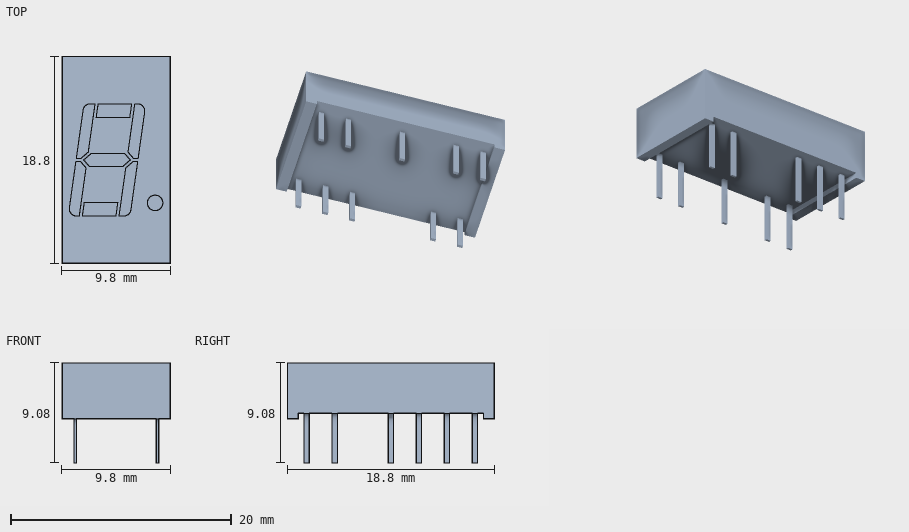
import cadquery as cq
import math

length_x = 9.8
length_y = 18.75
housing_height = 5.08
foot_length = 1.0
foot_height = 0.5

pin_pitch = 2.54
pin_row_spacing = 7.45
pin_thickness = 0.25
pin_width = 0.5
pin_drop = 4.0
pin_positions = 7
left_row_filled = (0, 1, 3, 5, 6)
right_row_filled = (0, 1, 2, 5, 6)

digit_height = 10.16
digit_width = 5.6
digit_center_x = -0.845
slant = math.tan(math.radians(8))
stroke = 1.0
end_bar_height = 1.22
middle_bar_height = 1.16
bar_length = 3.04
middle_tip_span = 4.22
upright_gap = 0.3
upright_tip_x = 2.37
upright_shoulder_y = 0.72
corner_radius = 0.65

dot_diameter = 1.4
dot_x = 3.51
dot_y = -3.89

inlay_depth = 0.5


def slanted_prism(points):
    """Extrude an upright digit outline, slanted, down from the top face."""
    slanted = [(digit_center_x + x + slant * y, y) for x, y in points]
    return (
        cq.Workplane("XY", origin=(0, 0, housing_height))
        .polyline(slanted)
        .close()
        .extrude(-inlay_depth)
    )


def make_end_bar(side):
    """Top bar (side = 1) or bottom bar (side = -1)."""
    half_length = bar_length / 2
    outer_y = side * digit_height / 2
    inner_y = outer_y - side * end_bar_height
    return slanted_prism([
        (-half_length, outer_y),
        (half_length, outer_y),
        (half_length, inner_y),
        (-half_length, inner_y),
    ])


def make_middle_bar():
    half_length = bar_length / 2
    half_height = middle_bar_height / 2
    half_span = middle_tip_span / 2
    return slanted_prism([
        (-half_span, 0),
        (-half_length, half_height),
        (half_length, half_height),
        (half_span, 0),
        (half_length, -half_height),
        (-half_length, -half_height),
    ])


def make_upright(side_x, side_y):
    """Upright segment in the quadrant given by the two signs."""
    outer_x = side_x * digit_width / 2
    inner_x = outer_x - side_x * stroke
    end_y = side_y * digit_height / 2
    gap_y = side_y * upright_gap / 2
    upright = slanted_prism([
        (outer_x, end_y),
        (inner_x, end_y),
        (inner_x, side_y * upright_shoulder_y),
        (side_x * upright_tip_x, gap_y),
        (outer_x, gap_y),
    ])
    corner = (digit_center_x + outer_x + slant * end_y, end_y, housing_height - inlay_depth / 2)
    return upright.edges(cq.selectors.NearestToPointSelector(corner)).fillet(corner_radius)


def make_dot():
    return (
        cq.Workplane("XY", origin=(dot_x, dot_y, housing_height))
        .circle(dot_diameter / 2)
        .extrude(-inlay_depth)
    )


def make_pins():
    """All pins, reaching from the underside of the block to their tips."""
    centers = []
    for side, filled in ((-1, left_row_filled), (1, right_row_filled)):
        for position in filled:
            y = pin_pitch * ((pin_positions - 1) / 2 - position)
            centers.append((side * pin_row_spacing / 2, y))
    return (
        cq.Workplane("XY", origin=(0, 0, -pin_drop))
        .pushPoints(centers)
        .rect(pin_thickness, pin_width)
        .extrude(pin_drop + foot_height)
    )


def make_housing(inlays):
    """Block and pins as one body, with a pocket for every inlay."""
    block = cq.Workplane("XY").box(length_x, length_y, housing_height, centered=(True, True, False))
    channel = cq.Workplane("XY").box(
        length_x, length_y - 2 * foot_length, foot_height, centered=(True, True, False)
    )
    housing = block.cut(channel).union(make_pins())
    for inlay in inlays:
        housing = housing.cut(inlay)
    return housing


segments = [make_end_bar(1), make_end_bar(-1), make_middle_bar()]
for side_x in (-1, 1):
    for side_y in (-1, 1):
        segments.append(make_upright(side_x, side_y))

dot = make_dot()
housing = make_housing(segments + [dot])

result = cq.Compound.makeCompound([
    *housing.solids().vals(),
    *[solid for segment in segments for solid in segment.solids().vals()],
    *dot.solids().vals(),
])